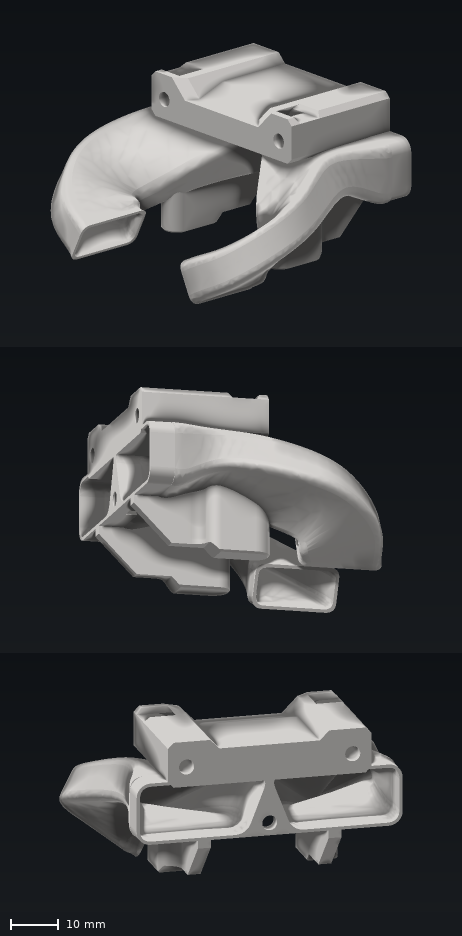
import cadquery as cq
import math


block_width = 43.95
block_depth = 27.4
block_height = 9.8
block_chamfer = 1.25
screw_x = 17.95
screw_z = 4.3
screw_dia = 3.3

channel_half_width = 12.9
channel_depth = 2.0
channel_front_depth = 4.1
channel_slope_start = 17.4
flare_length = 2.1
flare_widening = 2.7

pocket_inner_x = 15.15
pocket_rear = 19.6
pocket_front = 24.9
pocket_chamfer = 0.75
pocket_floor_z = block_height - block_chamfer

flange_width = 57.45
flange_depth = 5.3
flange_top = 1.3
flange_bottom = -12.0
flange_radius = 3.0

nut_z = -9.3
nut_flats = 5.55
nut_depth = 2.5
nut_hole_dia = 3.2

foot_inner_x = 12.7
foot_wall = 2.8
foot_column = 6.7
foot_top = -6.0
foot_front_top = -14.5
foot_rear_z = -13.7
foot_bottom = -21.85
column_bottom = -23.9
step_start = 12.5
step_end = 17.8
foot_front = 29.0
foot_inner_radius = 3.0
foot_outer_radius = 3.6
foot_edge_chamfer = 0.4

duct_wall = 0.7
inlet_outer_x = -flange_width / 2
duct_stations = [
    (
        (inlet_outer_x, -flange_depth, flange_top),
        (inlet_outer_x, -flange_depth, flange_bottom),
        (-4.5, -flange_depth, flange_bottom),
        (0.7, -flange_depth, flange_top),
        flange_radius,
    ),
    ((-27.3, -9.75, 1.3), (-27.95, -9.75, -10.8), (-3.8, -9.75, -12.3), (1.05, -9.75, 0.7), 2.5),
    ((-25.4, -14.6, 1.3), (-27.55, -14.6, -8.35), (-4.9, -15.3, -12.25), (0.35, -14.6, -0.35), 2.1),
    ((-26.1, -22.95, 0.7), (-30.75, -22.95, -8.35), (-11.5, -24.35, -15.15), (-6.95, -23.65, -6.25), 2.1),
    ((-30.6, -32, -2.4), (-34.7, -32.7, -11.0), (-17.05, -30.6, -18.8), (-13.55, -30.25, -12.0), 1.95),
    ((-31.3, -39.65, -5.8), (-35.05, -39.85, -13.4), (-20.85, -33.6, -21.4), (-17.9, -33.25, -15.15), 1.7),
    ((-27.5, -46.75, -10.35), (-31.8, -47.1, -17.6), (-21.8, -34.3, -23.65), (-18.1, -34.2, -16), 1.7),
    ((-21.2, -51.2, -14.25), (-25.05, -51.5, -22.4), (-20.5, -34.65, -25.05), (-16.9, -34.65, -16.55), 1.95),
    ((-14.9, -52.7, -17.3), (-19.1, -52.7, -25.95), (-19.1, -34.65, -25.95), (-14.9, -34.65, -17.3), 2.2),
]


def both_sides(left):
    """Join a left-hand shape with its mirror image across X = 0."""
    return left.union(left.mirror("YZ"))


def section_wire(station, inset):
    """Rounded four-sided wire through the station corners, moved inward by inset."""
    corners = [cq.Vector(*corner) for corner in station[:4]]
    radius = station[4] - inset / 2
    inner = []
    for i, corner in enumerate(corners):
        to_previous = (corners[i - 1] - corner).normalized()
        to_next = (corners[(i + 1) % 4] - corner).normalized()
        inner.append(corner + (to_previous + to_next) * inset)
    arrivals = []
    departures = []
    for i, corner in enumerate(inner):
        arrivals.append(corner + (inner[i - 1] - corner).normalized() * radius)
        departures.append(corner + (inner[(i + 1) % 4] - corner).normalized() * radius)
    edges = []
    for i, corner in enumerate(inner):
        edges.append(cq.Edge.makeBezier([arrivals[i], corner, departures[i]]))
        edges.append(cq.Edge.makeLine(departures[i], arrivals[(i + 1) % 4]))
    return cq.Wire.assembleEdges(edges)


def duct_body(inset):
    wires = [section_wire(station, inset) for station in duct_stations]
    return cq.Workplane(obj=cq.occ_impl.shapes.loft(wires, cap=True, parametrization="chordal"))


def flange():
    height = flange_top - flange_bottom
    body = cq.Workplane().box(flange_width, flange_depth, height, centered=(True, False, False))
    body = body.edges("|Y").fillet(flange_radius)
    return body.translate((0, -flange_depth, flange_bottom))


def inlet_opening():
    wire = section_wire(duct_stations[0], duct_wall)
    return cq.Workplane(obj=cq.Solid.extrudeLinear(wire, [], cq.Vector(0, flange_depth, 0)))


def nut_seat():
    seat = (
        cq.Workplane("XZ", origin=(0, -flange_depth, nut_z))
        .polygon(6, nut_flats / math.cos(math.pi / 6))
        .extrude(-nut_depth)
    )
    hole = cq.Workplane("XZ", origin=(0, 0, nut_z)).circle(nut_hole_dia / 2).extrude(flange_depth)
    return seat.union(hole)


def left_foot():
    """Foot that is thin at the rear and widens outward to a column at the front."""
    thin_x = -foot_inner_x - foot_wall
    column_x = -foot_inner_x - foot_column
    inner_corner = (-foot_inner_x, -foot_front, column_bottom / 2)
    outer_corner = (column_x, -foot_front, column_bottom / 2)
    step_middle = ((thin_x + column_x) / 2, -(step_start + step_end) / 2)
    column = (
        cq.Workplane("XY", origin=(0, 0, column_bottom))
        .moveTo(-foot_inner_x, 0)
        .lineTo(thin_x, 0)
        .lineTo(thin_x, -step_start)
        .tangentArcPoint(step_middle, relative=False)
        .tangentArcPoint((column_x, -step_end), relative=False)
        .lineTo(column_x, -foot_front)
        .lineTo(-foot_inner_x, -foot_front)
        .close()
        .extrude(-column_bottom)
        .edges(cq.selectors.NearestToPointSelector(inner_corner))
        .fillet(foot_inner_radius)
        .edges(cq.selectors.NearestToPointSelector(outer_corner))
        .fillet(foot_outer_radius)
        .faces("<Z")
        .edges()
        .chamfer(foot_edge_chamfer)
    )
    rise = foot_bottom - column_bottom
    side_profile = (
        cq.Workplane("YZ")
        .moveTo(0, foot_top)
        .lineTo(0, foot_rear_z)
        .lineTo(foot_bottom - foot_rear_z, foot_bottom)
        .lineTo(rise - step_end, foot_bottom)
        .lineTo(-step_end, column_bottom)
        .lineTo(-foot_front, column_bottom)
        .lineTo(-foot_front, foot_front_top)
        .lineTo(-step_end, foot_top)
        .close()
        .extrude(-flange_width / 2)
    )
    return column.intersect(side_profile)


def channel_section(y, widening):
    """Trapezoid across the block with 45 degree sides, at depth y from the rear."""
    top = channel_half_width + widening
    bottom = top - channel_front_depth
    floor_z = block_height - channel_front_depth
    return cq.Wire.makePolygon(
        [
            cq.Vector(-top, -y, block_height),
            cq.Vector(top, -y, block_height),
            cq.Vector(bottom, -y, floor_z),
            cq.Vector(-bottom, -y, floor_z),
        ],
        close=True,
    )


def channel():
    flare_start = block_depth - flare_length
    straight = cq.Solid.makeLoft([channel_section(0, 0), channel_section(flare_start, 0)], True)
    flare = cq.Solid.makeLoft(
        [channel_section(flare_start, 0), channel_section(block_depth, flare_widening)], True
    )
    floor = (
        cq.Workplane("YZ")
        .moveTo(0, block_height)
        .lineTo(0, block_height - channel_depth)
        .lineTo(-channel_slope_start, block_height - channel_depth)
        .lineTo(-block_depth, block_height - channel_front_depth)
        .lineTo(-block_depth, block_height)
        .close()
        .extrude(channel_half_width + flare_widening, both=True)
    )
    return cq.Workplane(obj=straight).union(cq.Workplane(obj=flare)).intersect(floor)


def left_pocket():
    """Tie slot that enters from the top and curves around the inner side of the screw hole."""
    core_radius = pocket_floor_z - screw_z
    outer_radius = math.hypot(screw_x - pocket_inner_x, block_height - screw_z)
    side_width = block_width / 2 - screw_x
    axis = cq.Workplane("XZ", origin=(-screw_x, 0, screw_z))
    ring = axis.circle(outer_radius).circle(core_radius).extrude(block_depth)
    outer_half = axis.rect(-2 * outer_radius, 2 * outer_radius).extrude(block_depth)
    ring = ring.cut(outer_half.translate((-outer_radius, 0, 0)))
    entry = (
        axis.center(-side_width / 2, core_radius + block_chamfer / 2)
        .rect(side_width, block_chamfer)
        .extrude(block_depth)
    )
    width_profile = (
        cq.Workplane("YZ")
        .moveTo(-pocket_rear, 0)
        .lineTo(-pocket_rear, pocket_floor_z)
        .lineTo(-pocket_rear + pocket_chamfer, block_height)
        .lineTo(-pocket_front - pocket_chamfer, block_height)
        .lineTo(-pocket_front, pocket_floor_z)
        .lineTo(-pocket_front, 0)
        .close()
        .extrude(-block_width / 2)
    )
    return ring.union(entry).intersect(width_profile)


def mounting_block():
    body = cq.Workplane().box(block_width, block_depth, block_height, centered=(True, False, False))
    body = body.translate((0, -block_depth, 0)).edges("|Y").chamfer(block_chamfer)
    screw_holes = (
        cq.Workplane("XZ")
        .pushPoints([(-screw_x, screw_z), (screw_x, screw_z)])
        .circle(screw_dia / 2)
        .extrude(block_depth)
    )
    return body.cut(channel()).cut(both_sides(left_pocket())).cut(screw_holes)


air_passage = duct_body(duct_wall).union(inlet_opening())
shell = flange().union(both_sides(duct_body(0))).union(both_sides(left_foot()))
shell = shell.cut(nut_seat()).cut(both_sides(air_passage))
result = shell.union(mounting_block())